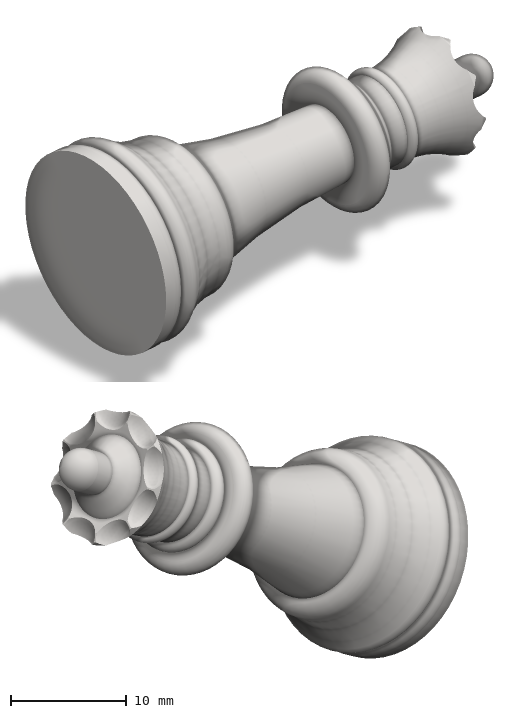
import cadquery as cq
import math

total_height = 44.2

base_radius = 9.5
base_disc_top = 1.05
waist_radius = 8.85
waist_height = 2.1
foot_bead_middle = 2.9
skirt_bottom_radius = 9.3
skirt_bottom = 3.65
shoulder_radius = 7.5
shoulder_bottom = 8.55
shoulder_rounding = 1.55

stem_bottom_radius = 5.92
stem_bottom = shoulder_bottom + shoulder_rounding
stem_top_radius = 3.7

neck_radius = 4.25
collar_radius = 6.7
collar_bottom = 26.0
collar_top = 28.05
middle_ring_radius = 5.0
middle_ring_top = 29.53
upper_ring_radius = 4.75
upper_ring_bottom = 31.5
upper_ring_top = 32.6

rim_radius = 6.0
rim_bottom = 38.4
rim_top_radius = 5.85
rim_top = 39.05
lip_inner_radius = 5.0

cone_base_radius = 3.7
cone_base = 38.6
finial_radius = 1.9
finial_bottom = 40.25
finial_dome_start = total_height - finial_radius

scallop_count = 9
scallop_ball_radius = 2.3
scallop_centre_radius = 5.75
scallop_floor = 38.0


def concave_middle(narrow_radius, narrow_y, wide_radius, wide_y):
    """Middle point of an arc that runs parallel to the axis at its narrow end."""
    flare = wide_radius - narrow_radius
    length = abs(wide_y - narrow_y)
    arc_radius = (flare**2 + length**2) / (2 * flare)
    half_angle = math.asin(length / arc_radius) / 2
    radius = narrow_radius + arc_radius * (1 - math.cos(half_angle))
    y = narrow_y + math.copysign(arc_radius * math.sin(half_angle), wide_y - narrow_y)
    return radius, y


def add_half_round(outline, outer_radius, bottom, top):
    """Add a ring with a half-round edge, rising from bottom to top."""
    edge_radius = (top - bottom) / 2
    inner_radius = outer_radius - edge_radius
    outline = outline.lineTo(inner_radius, bottom)
    return outline.threePointArc((outer_radius, bottom + edge_radius), (inner_radius, top))


def turned_body():
    diagonal = math.sqrt(0.5)
    outline = cq.Workplane("XY").lineTo(base_radius, 0).lineTo(base_radius, base_disc_top)

    edge_middle = (
        waist_radius + (base_radius - waist_radius) * diagonal,
        base_disc_top + (waist_height - base_disc_top) * diagonal,
    )
    outline = outline.threePointArc(edge_middle, (waist_radius, waist_height))
    outline = outline.threePointArc((base_radius, foot_bead_middle), (skirt_bottom_radius, skirt_bottom))
    skirt_middle = concave_middle(shoulder_radius, shoulder_bottom, skirt_bottom_radius, skirt_bottom)
    outline = outline.threePointArc(skirt_middle, (shoulder_radius, shoulder_bottom))
    shoulder_flat_radius = shoulder_radius - shoulder_rounding
    shoulder_middle = (
        shoulder_flat_radius + shoulder_rounding * diagonal,
        shoulder_bottom + shoulder_rounding * diagonal,
    )
    outline = outline.threePointArc(shoulder_middle, (shoulder_flat_radius, stem_bottom))
    outline = outline.lineTo(stem_bottom_radius, stem_bottom)

    stem_middle = concave_middle(stem_top_radius, collar_bottom, stem_bottom_radius, stem_bottom)
    outline = outline.threePointArc(stem_middle, (stem_top_radius, collar_bottom))

    outline = add_half_round(outline, collar_radius, collar_bottom, collar_top)
    outline = add_half_round(outline, middle_ring_radius, collar_top, middle_ring_top)
    outline = outline.lineTo(neck_radius, middle_ring_top).lineTo(neck_radius, upper_ring_bottom)
    outline = add_half_round(outline, upper_ring_radius, upper_ring_bottom, upper_ring_top)
    outline = outline.lineTo(neck_radius, upper_ring_top)

    crown_middle = concave_middle(neck_radius, upper_ring_top, rim_radius, rim_bottom)
    outline = outline.threePointArc(crown_middle, (rim_radius, rim_bottom))
    outline = outline.lineTo(rim_top_radius, rim_top).lineTo(lip_inner_radius, rim_top)

    outline = outline.lineTo(cone_base_radius, cone_base)
    outline = outline.lineTo(finial_radius, finial_bottom).lineTo(finial_radius, finial_dome_start)
    dome_middle = (finial_radius * diagonal, finial_dome_start + finial_radius * diagonal)
    outline = outline.threePointArc(dome_middle, (0, total_height))
    return outline.close().revolve(360, (0, 0, 0), (0, 1, 0))


def cut_scallops(body):
    pitch = 360 / scallop_count
    ball = cq.Workplane("XY").sphere(scallop_ball_radius)
    ball = ball.translate((scallop_centre_radius, scallop_floor + scallop_ball_radius, 0))
    for index in range(scallop_count):
        angle = (index + 0.5) * pitch
        body = body.cut(ball.rotate((0, 0, 0), (0, 1, 0), angle))
    return body


result = cut_scallops(turned_body())